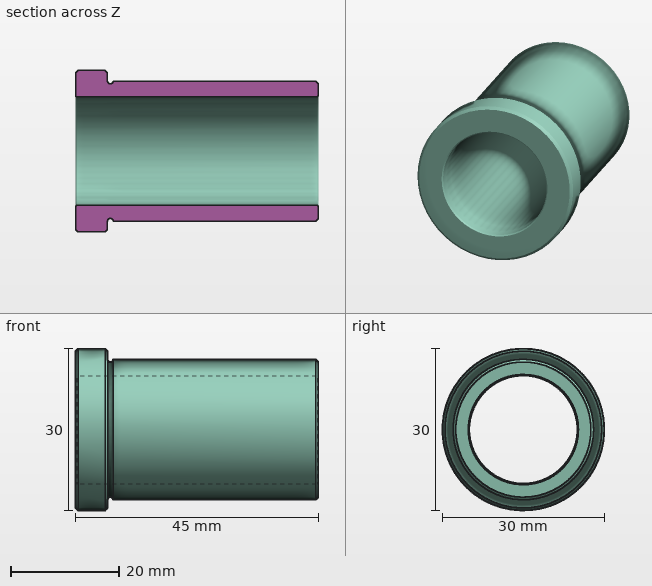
import cadquery as cq

total_length = 45.0
head_length = 6.0
head_diameter = 30.0
body_diameter = 26.0
bore_diameter = 20.0

groove_radius = 0.5

outer_chamfer = 0.5
bore_chamfer = 0.22

head_radius = head_diameter / 2
body_radius = body_diameter / 2
bore_radius = bore_diameter / 2
groove_center = head_length + groove_radius
groove_end = head_length + 2 * groove_radius

half_section = (
    cq.Workplane("XY")
    .moveTo(0, bore_radius + bore_chamfer)
    .lineTo(0, head_radius - outer_chamfer)
    .lineTo(outer_chamfer, head_radius)
    .lineTo(head_length - outer_chamfer, head_radius)
    .lineTo(head_length, head_radius - outer_chamfer)
    .lineTo(head_length, body_radius)
    .threePointArc((groove_center, body_radius - groove_radius), (groove_end, body_radius))
    .lineTo(total_length - outer_chamfer, body_radius)
    .lineTo(total_length, body_radius - outer_chamfer)
    .lineTo(total_length, bore_radius + bore_chamfer)
    .lineTo(total_length - bore_chamfer, bore_radius)
    .lineTo(bore_chamfer, bore_radius)
    .close()
)

result = half_section.revolve(360, (0, 0, 0), (1, 0, 0))